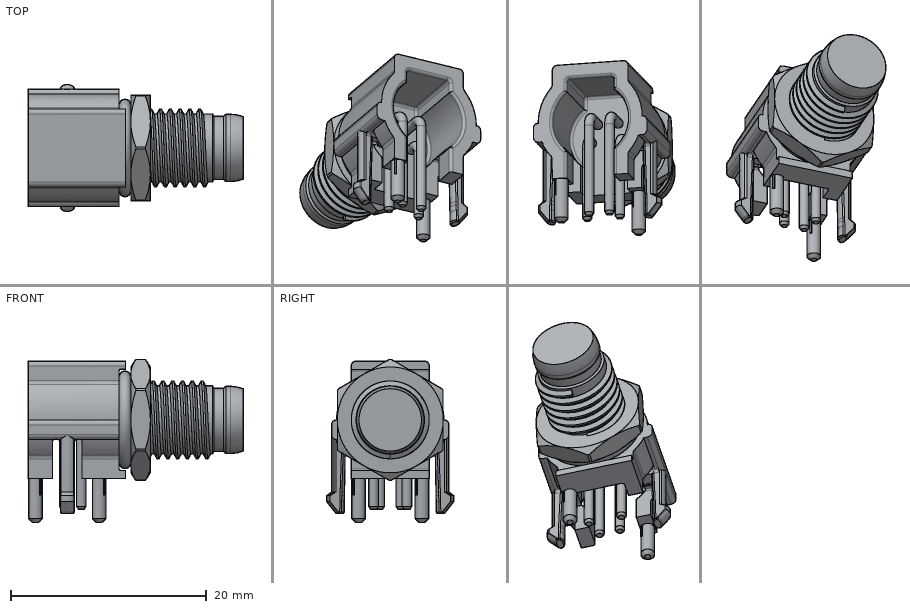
import cadquery as cq
import math


BODY_LENGTH = 9.3
LIP_LENGTH = 0.65
LIP_INNER_Z = 5.17
LIP_CORNER_R = 0.15
BLOCK_HALF_WIDTH = 4.0
BLOCK_HALF_HEIGHT = 6.0
BARREL_R = 5.5
EDGE_R = 0.5
WING_HALF_WIDTH = BARREL_R + EDGE_R
WING_DEPTH = 2.0

CAVITY_DEPTH = 7.25
CAVITY_R = 4.0
CAVITY_HALF_WIDTH = 2.49
CAVITY_TOP = 4.49
CAVITY_EDGE_R = 0.29
CAVITY_CORNER_R = 0.3

MID_X = 4.0
PEG_SPACING = 6.51
PEG_Y = 3.23
PEG_D = 1.4
PEG_BOTTOM = -10.5
PEG_CHAMFER = 0.4
RIB_LENGTH = 1.55
RIB_WIDTH = 0.2
RIB_BOTTOM = -7.65
WINDOW_WIDTH = 3.0
WINDOW_CORNER_R = 0.15
HOOK_WIDTH = 1.43
HOOK_CROWN_R = 0.95
HOOK_OUTER_Y = WING_HALF_WIDTH
HOOK_TIP_Y = 6.5
HOOK_ROOT_Z = -1.1
HOOK_MIDDLE_Y = 4.95
HOOK_ROOT_R = 0.3
HOOK_BEVEL = 0.077
HOOK_INNER_BEVEL = 0.18
HOOK_TOE_INSET = 0.1

CONTACT_D = 1.0
CONTACT_BEND_R = 1.1
CONTACT_BOTTOM = -9.15
CONTACT_TIP_LENGTH = 0.3
CONTACT_TIP_INSET = 0.2
INNER_CONTACT = (3.7, 1.08, 1.45)
OUTER_CONTACT = (5.43, 1.72, -0.48)

RING_SECTION_D = 1.19
RING_OUTER_D = 9.99
RING_BORE_D = RING_OUTER_D - 2 * RING_SECTION_D

NUT_START = BODY_LENGTH + RING_SECTION_D
NUT_LENGTH = 2.0
NUT_END = NUT_START + NUT_LENGTH
NUT_FLATS = 10.82
NUT_CORNER_D = 12.36
NUT_CHAMFER = 0.5
THREAD_PITCH = 1.0
THREAD_TURNS = 6
THREAD_START = 12.28
THREAD_ROOT_D = 7.0
THREAD_CREST_D = 7.96
THREAD_ROOT_WIDTH = 0.73
THREAD_CREST_WIDTH = 0.2
THREAD_OVERLAP = 0.07
THREADED_END = 18.85
NECK_D = 6.5
NECK_START = 18.99
NECK_END = 19.98
BEAD_D = 6.9
BEAD_START = 20.22
BEAD_END = 20.7
NOSE_D = 6.38
TOTAL_LENGTH = 22.0


def arc_middle(centre, radius, degrees):
    """Point on a circle at the given angle from +Y toward +Z."""
    angle = math.radians(degrees)
    return (centre[0] + radius * math.cos(angle), centre[1] + radius * math.sin(angle))


def housing_block():
    """Barrel, square block and side wings, drawn as half an outline in YZ."""
    length = BODY_LENGTH + LIP_LENGTH
    w, h, r = BLOCK_HALF_WIDTH, BLOCK_HALF_HEIGHT, EDGE_R
    hollow_r = (2 * w**2 - BARREL_R**2) / (2 * (BARREL_R - w))
    hollow_centre = (w + hollow_r, w)
    hollow_angle = math.degrees(math.atan2(hollow_centre[1], hollow_centre[0]))
    upper_tangent = arc_middle((0, 0), BARREL_R, hollow_angle)
    upper_hollow = arc_middle(hollow_centre, hollow_r, 180 + hollow_angle / 2)
    wing_root = (math.sqrt(BARREL_R**2 - WING_DEPTH**2), -WING_DEPTH)
    wing_angle = math.degrees(math.asin(WING_DEPTH / BARREL_R))
    lower_barrel = arc_middle((0, 0), BARREL_R, -(wing_angle + hollow_angle) / 2)
    outline = (
        cq.Workplane("YZ")
        .moveTo(0, h)
        .lineTo(w - r, h)
        .threePointArc(arc_middle((w - r, h - r), r, 45), (w, h - r))
        .lineTo(w, w)
        .threePointArc(upper_hollow, upper_tangent)
        .threePointArc(arc_middle((0, 0), BARREL_R, hollow_angle / 2), (BARREL_R, 0))
        .threePointArc(arc_middle((BARREL_R, -r), r, 45), (WING_HALF_WIDTH, -r))
        .lineTo(WING_HALF_WIDTH, r - WING_DEPTH)
        .threePointArc(arc_middle((BARREL_R, r - WING_DEPTH), r, -45), (BARREL_R, -WING_DEPTH))
        .lineTo(*wing_root)
        .threePointArc(lower_barrel, (upper_tangent[0], -upper_tangent[1]))
        .threePointArc((upper_hollow[0], -upper_hollow[1]), (w, -w))
        .lineTo(w, -h)
        .lineTo(0, -h)
    )
    seat_cut = (
        cq.Workplane("XY")
        .box(2 * LIP_LENGTH, 2 * h, 2 * LIP_INNER_Z)
        .edges("|Y and <X")
        .fillet(LIP_CORNER_R)
        .translate((BODY_LENGTH + LIP_LENGTH, 0, 0))
    )
    return outline.mirrorY().extrude(length).cut(seat_cut)


def cavity():
    """Keyhole-shaped room, open at the end and at the bottom, with a rounded floor edge."""
    bottom = -2 * BLOCK_HALF_HEIGHT
    slot = (
        cq.Workplane("XY")
        .box(CAVITY_DEPTH, 2 * CAVITY_HALF_WIDTH, CAVITY_TOP - bottom, centered=(False, True, False))
        .translate((0, 0, bottom))
        .edges("|X and >Z")
        .fillet(CAVITY_CORNER_R)
    )
    bore = cq.Workplane("YZ").circle(CAVITY_R).extrude(CAVITY_DEPTH)
    return slot.union(bore).faces(">X").edges().fillet(CAVITY_EDGE_R)


def hook_root():
    """Block under the -Y wing that leaves the hollow roundings beside the hook."""
    depth = BARREL_R - HOOK_MIDDLE_Y
    return (
        cq.Workplane("XY")
        .box(HOOK_WIDTH + 2 * HOOK_ROOT_R, depth, 2 * HOOK_ROOT_R)
        .translate((MID_X, -HOOK_MIDDLE_Y - depth / 2, -WING_DEPTH))
    )


def window_gap(near_x, far_x, near_r, far_r):
    """Round-topped gap through both side walls, between two places along X."""
    height = 2 * BLOCK_HALF_HEIGHT
    return (
        cq.Workplane("XY")
        .box(far_x - near_x, 3 * WING_HALF_WIDTH, height)
        .edges("|Y and >Z and <X")
        .fillet(near_r)
        .edges("|Y and >Z and >X")
        .fillet(far_r)
        .translate(((near_x + far_x) / 2, 0, -WING_DEPTH - height / 2))
    )


def cut_side_windows(body):
    """Open the side walls on both sides of the hooks, and the space between the hooks."""
    window, hook = WINDOW_WIDTH / 2, HOOK_WIDTH / 2
    before_hook = window_gap(MID_X - window, MID_X - hook, WINDOW_CORNER_R, HOOK_ROOT_R)
    after_hook = window_gap(MID_X + hook, MID_X + window, HOOK_ROOT_R, WINDOW_CORNER_R)
    height = 2 * BLOCK_HALF_HEIGHT
    between_hooks = (
        cq.Workplane("XY")
        .box(HOOK_WIDTH, 2 * HOOK_MIDDLE_Y, height)
        .translate((MID_X, 0, -WING_DEPTH - height / 2))
    )
    return body.cut(before_hook).cut(after_hook).cut(between_hooks)


def hook_section(z, outer, inner, inner_crown, edge_depth, inset=0):
    """Level section of the -Y hook: rounded outside and inside, with bevelled corners."""
    half = HOOK_WIDTH / 2 - inset
    crown = half - HOOK_BEVEL
    crown_y = outer - HOOK_CROWN_R + math.sqrt(HOOK_CROWN_R**2 - crown**2)
    inner_edge = inner + inner_crown
    return (
        cq.Workplane("XY", origin=(MID_X, 0, z))
        .moveTo(-crown, -crown_y)
        .threePointArc((0, -outer), (crown, -crown_y))
        .lineTo(half, -outer + edge_depth)
        .lineTo(half, -inner_edge - HOOK_INNER_BEVEL)
        .lineTo(crown, -inner_edge)
        .threePointArc((0, -inner), (-crown, -inner_edge))
        .lineTo(-half, -inner_edge - HOOK_INNER_BEVEL)
        .lineTo(-half, -outer + edge_depth)
        .close()
        .val()
    )


def snap_hook():
    """Hook on the -Y side: a tapering strip lofted through level sections, ending in a barb."""
    sections = [
        hook_section(HOOK_ROOT_Z, HOOK_OUTER_Y, 4.55, 0.18, edge_depth=0.46),
        hook_section(-7.37, HOOK_OUTER_Y, 4.66, 0.29, edge_depth=0.46),
        hook_section(-7.75, HOOK_TIP_Y, 4.66, 0.29, edge_depth=0.35),
        hook_section(-8.35, HOOK_TIP_Y, 4.69, 0.29, edge_depth=0.35),
        hook_section(-9.44, 5.65, 4.69, 0.3, edge_depth=0.35),
        hook_section(-9.6, 5.5, 4.82, 0.18, edge_depth=0.3, inset=HOOK_TOE_INSET),
    ]
    return cq.Workplane(obj=cq.Solid.makeLoft(sections, True))


def board_peg():
    """Chamfered peg with a thin diagonal crush rib at its upper end."""
    top = -BLOCK_HALF_HEIGHT
    peg = (
        cq.Workplane("XY", origin=(0, 0, PEG_BOTTOM))
        .circle(PEG_D / 2)
        .extrude(top - PEG_BOTTOM)
        .faces("<Z")
        .chamfer(PEG_CHAMFER)
    )
    rib = (
        cq.Workplane("XY", origin=(0, 0, RIB_BOTTOM))
        .rect(RIB_LENGTH, RIB_WIDTH)
        .extrude(top - RIB_BOTTOM)
        .rotate((0, 0, 0), (0, 0, 1), -45)
    )
    return peg.union(rib)


def contact(x, y, tail_z):
    """Round contact that rises, bends toward +X and ends inside the cavity floor."""
    bend_z = tail_z - CONTACT_BEND_R
    bend_mid = arc_middle((x + CONTACT_BEND_R, bend_z), CONTACT_BEND_R, 135)
    path = (
        cq.Workplane("XZ", origin=(0, y, 0))
        .moveTo(x, CONTACT_BOTTOM)
        .lineTo(x, bend_z)
        .threePointArc(bend_mid, (x + CONTACT_BEND_R, tail_z))
        .lineTo((CAVITY_DEPTH + BODY_LENGTH) / 2, tail_z)
    )
    wire = cq.Workplane("XY", origin=(x, y, CONTACT_BOTTOM)).circle(CONTACT_D / 2).sweep(path)
    return wire.faces("<Z").chamfer(CONTACT_TIP_LENGTH, CONTACT_TIP_INSET)


def make_housing():
    entrance_reach = CAVITY_EDGE_R / 2
    rim_reach_y = BLOCK_HALF_WIDTH - EDGE_R / 2
    body = housing_block().cut(cavity())
    rim = cq.selectors.BoxSelector(
        (-entrance_reach, -rim_reach_y, -BLOCK_HALF_HEIGHT + EDGE_R),
        (entrance_reach, rim_reach_y, BLOCK_HALF_HEIGHT - EDGE_R),
    )
    body = body.edges(rim).fillet(CAVITY_EDGE_R)
    root = hook_root()
    body = cut_side_windows(body.union(root).union(root.mirror("XZ")))

    hook = snap_hook()
    body = body.union(hook).union(hook.mirror("XZ"))

    peg = board_peg()
    for end in (-1, 1):
        body = body.union(peg.translate((MID_X + end * PEG_SPACING / 2, -end * PEG_Y, 0)))

    for x, y, tail_z in (INNER_CONTACT, OUTER_CONTACT):
        for side in (-1, 1):
            body = body.union(contact(x, side * y, tail_z))
    return body


def make_sealing_ring():
    ring = cq.Solid.makeTorus(
        (RING_OUTER_D - RING_SECTION_D) / 2,
        RING_SECTION_D / 2,
        cq.Vector(BODY_LENGTH + RING_SECTION_D / 2, 0, 0),
        cq.Vector(1, 0, 0),
    )
    return cq.Workplane(obj=ring)


def hex_nut():
    """Hexagon with corners up and down, turned at the corners and chamfered at both faces."""
    hexagon = (
        cq.Workplane("YZ", origin=(NUT_START, 0, 0))
        .polygon(6, NUT_FLATS / math.cos(math.pi / 6))
        .extrude(NUT_LENGTH)
        .rotate((0, 0, 0), (1, 0, 0), 90)
    )
    turned = (
        cq.Workplane("XY")
        .moveTo(NUT_START, 0)
        .lineTo(NUT_START, NUT_FLATS / 2)
        .lineTo(NUT_START + NUT_CHAMFER, NUT_CORNER_D / 2)
        .lineTo(NUT_END - NUT_CHAMFER, NUT_CORNER_D / 2)
        .lineTo(NUT_END, NUT_FLATS / 2)
        .lineTo(NUT_END, 0)
        .close()
        .revolve(360, (0, 0, 0), (1, 0, 0))
    )
    return hexagon.intersect(turned)


def sleeve_core():
    """Turned shaft from the ring seat to the nose."""
    return (
        cq.Workplane("XY")
        .moveTo(BODY_LENGTH, 0)
        .lineTo(BODY_LENGTH, RING_BORE_D / 2)
        .lineTo(NUT_START, RING_BORE_D / 2)
        .lineTo(NUT_START, THREAD_ROOT_D / 2)
        .lineTo(THREADED_END, THREAD_ROOT_D / 2)
        .lineTo(NECK_START, NECK_D / 2)
        .lineTo(NECK_END, NECK_D / 2)
        .lineTo(BEAD_START, BEAD_D / 2)
        .lineTo(BEAD_END, BEAD_D / 2)
        .tangentArcPoint((TOTAL_LENGTH, NOSE_D / 2), relative=False)
        .lineTo(TOTAL_LENGTH, 0)
        .close()
        .revolve(360, (0, 0, 0), (1, 0, 0))
    )


def thread_ridge():
    """Right-handed helical ridge, swept along Z and then laid along X."""
    root_r = THREAD_ROOT_D / 2
    crest_r = THREAD_CREST_D / 2
    flank_slope = (THREAD_ROOT_WIDTH - THREAD_CREST_WIDTH) / 2 / (crest_r - root_r)
    base_half = THREAD_ROOT_WIDTH / 2 + THREAD_OVERLAP * flank_slope
    crest_half = THREAD_CREST_WIDTH / 2
    helix = cq.Wire.makeHelix(THREAD_PITCH, THREAD_PITCH * THREAD_TURNS, root_r)
    ridge = (
        cq.Workplane("XZ")
        .polyline([
            (root_r - THREAD_OVERLAP, -base_half),
            (crest_r, -crest_half),
            (crest_r, crest_half),
            (root_r - THREAD_OVERLAP, base_half),
        ])
        .close()
        .sweep(cq.Workplane(obj=helix), isFrenet=True)
    )
    return ridge.rotate((0, 0, 0), (0, 1, 0), 90).translate((THREAD_START, 0, 0))


def make_threaded_sleeve():
    return sleeve_core().union(thread_ridge()).union(hex_nut())


housing = make_housing()
sealing_ring = make_sealing_ring()
threaded_sleeve = make_threaded_sleeve()

result = cq.Compound.makeCompound([housing.val(), sealing_ring.val(), threaded_sleeve.val()])